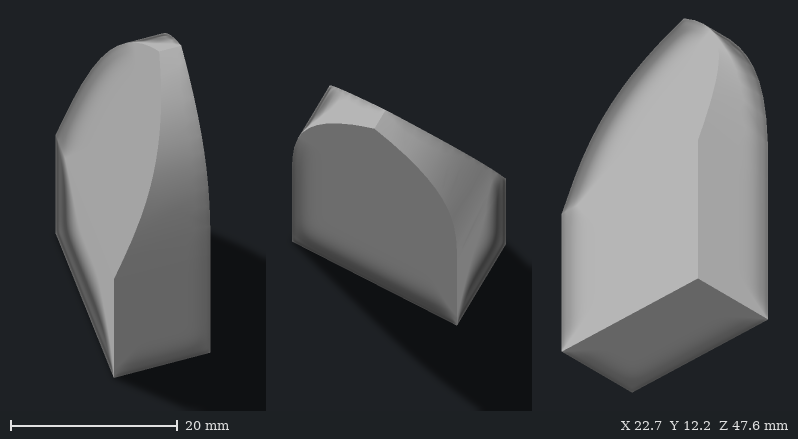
import cadquery as cq

WIDTH = 22.67
DEPTH = 12.2
HEIGHT = 47.61

SHOULDER_HEIGHT = 20.0

TIP_THICKNESS = 2.8

FLANK_LOWER_HANDLE = 10.4
FLANK_UPPER_HANDLE = 20.4

HALF_WIDTH = WIDTH / 2
BACK_Y = DEPTH / 2
FRONT_Y = -DEPTH / 2


def flank_handles(side):
    """Control points of one curved flank, from shoulder to tip; side is +1 or -1 along X."""
    x = side * HALF_WIDTH
    return [
        (x, SHOULDER_HEIGHT),
        (x, SHOULDER_HEIGHT + FLANK_LOWER_HANDLE),
        (x, SHOULDER_HEIGHT + FLANK_UPPER_HANDLE),
        (0, HEIGHT),
    ]


def pointed_blank():
    """Pointed-arch outline in the XZ plane, extruded through the full depth."""
    right_flank = flank_handles(1)
    left_flank_downward = flank_handles(-1)[::-1]
    return (
        cq.Workplane("XZ", origin=(0, BACK_Y, 0))
        .moveTo(-HALF_WIDTH, 0)
        .lineTo(HALF_WIDTH, 0)
        .lineTo(HALF_WIDTH, SHOULDER_HEIGHT)
        .bezier(right_flank)
        .bezier(left_flank_downward)
        .close()
        .extrude(DEPTH)
    )


def side_envelope():
    """Side profile in the YZ plane: upright back, front face sloping back above the shoulder."""
    return (
        cq.Workplane("YZ", origin=(-HALF_WIDTH, 0, 0))
        .moveTo(FRONT_Y, 0)
        .lineTo(BACK_Y, 0)
        .lineTo(BACK_Y, HEIGHT)
        .lineTo(BACK_Y - TIP_THICKNESS, HEIGHT)
        .lineTo(FRONT_Y, SHOULDER_HEIGHT)
        .close()
        .extrude(WIDTH)
    )


result = pointed_blank().intersect(side_envelope())